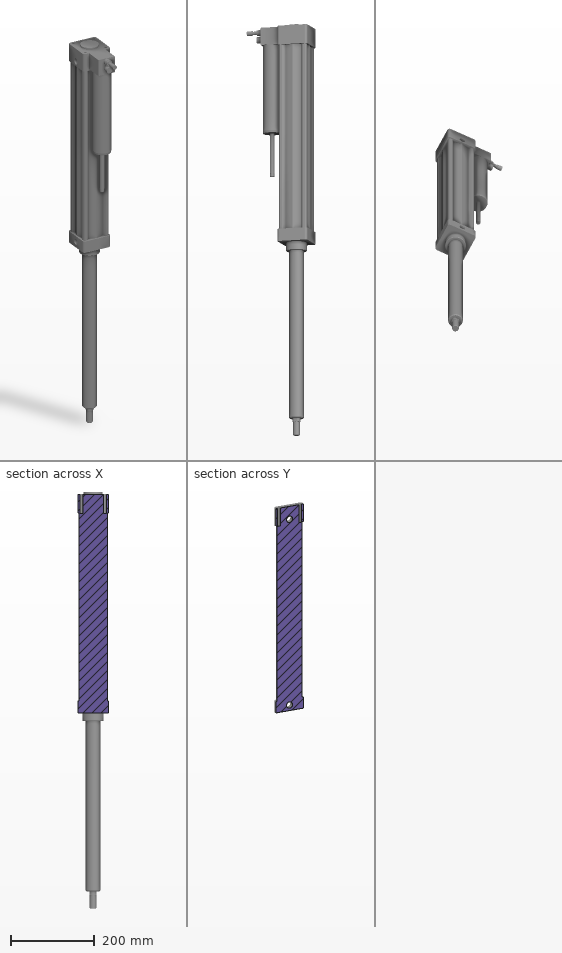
import cadquery as cq
import math


TOTAL_HEIGHT = 994.0
BOSS_HEIGHT = 4.0
HEAD_HEIGHT = 46.0
MOTOR_MOUNT_HEIGHT = 42.0
PROFILE_LENGTH = 447.0
CAP_HEIGHT = 30.0
COLLAR_HEIGHT = 20.0
head_top = TOTAL_HEIGHT - BOSS_HEIGHT
head_bottom = head_top - HEAD_HEIGHT
profile_bottom = head_bottom - PROFILE_LENGTH
cap_bottom = profile_bottom - CAP_HEIGHT
collar_bottom = cap_bottom - COLLAR_HEIGHT

BLOCK_WIDTH = 75.0
BLOCK_CORNER_RADIUS = 6.0
BOSS_DIAMETER = 45.0
SCREW_HOLE_DIAMETER = 6.0
SCREW_SPACING = 57.0
PORT_DIAMETER = 15.0
PORT_DEPTH = 10.0
PORT_TIP_ANGLE = 118.0
HEAD_PORT_HEIGHT = 12.0
COLLAR_DIAMETER = 50.0
COLLAR_CHAMFER = 1.0

PROFILE_WIDTH = 69.0
PROFILE_CORNER = 3.0
GROOVE_WIDTH = 51.0
RIDGE_WIDTH = 39.0
GROOVE_DEPTH = 6.0
RIDGE_HEIGHT = 5.5

MOTOR_DIAMETER = 45.0
MOTOR_X = 61.0
MOTOR_LENGTH = 213.0
MOTOR_END_CHAMFER_WIDTH = 1.0
MOTOR_END_CHAMFER_HEIGHT = 5.0
CABLE_DIAMETER = 11.0
CABLE_LENGTH = 104.0
CABLE_TIP_LENGTH = 8.0
CABLE_TIP_DIAMETER = 10.0
motor_top = head_top - MOTOR_MOUNT_HEIGHT
motor_bottom = motor_top - MOTOR_LENGTH
mount_end = MOTOR_X + MOTOR_DIAMETER / 2

UPPER_CONNECTOR_DROP = 8.4
UPPER_CONNECTOR_STEPS = [(15.0, 5.0), (16.0, 4.0), (14.0, 6.0), (8.0, 12.0), (11.0, 13.0)]
LOWER_CONNECTOR_DROP = 26.0
LOWER_CONNECTOR_STEPS = [(13.0, 5.0), (16.0, 10.0)]

ROD_DIAMETER = 35.0
ROD_BOTTOM = 41.0
ROD_CHAMFER_HEIGHT = 2.0
ROD_CHAMFER_WIDTH = 2.0
NECK_DIAMETER = 20.0
NECK_FLATS = 17.0
THREAD_DIAMETER = 16.0
THREAD_LENGTH = 33.0
THREAD_CHAMFER = 1.0


def square_block(bottom, height):
    return (
        cq.Workplane("XY", origin=(0, 0, bottom))
        .rect(BLOCK_WIDTH, BLOCK_WIDTH)
        .extrude(height)
        .edges("|Z")
        .fillet(BLOCK_CORNER_RADIUS)
    )


def cylinder(x, bottom, diameter, height):
    return cq.Workplane("XY", origin=(x, 0, bottom)).circle(diameter / 2).extrude(height)


def port(height):
    """Drilled hole with a conical end, entering the -Y face of a block."""
    radius = PORT_DIAMETER / 2
    face = -BLOCK_WIDTH / 2
    end = face + PORT_DEPTH
    tip = end + radius / math.tan(math.radians(PORT_TIP_ANGLE / 2))
    return (
        cq.Workplane("XY")
        .polyline([(0, face), (radius, face), (radius, end), (0, tip)])
        .close()
        .revolve(360, (0, 0, 0), (0, 1, 0))
        .translate((0, 0, height))
    )


def connector(height, steps):
    """Stepped round connector pointing along +X."""
    start = mount_end
    body = cq.Workplane("YZ")
    for diameter, length in steps:
        step = cq.Workplane("YZ", origin=(start, 0, height)).circle(diameter / 2).extrude(length)
        body = body.add(step)
        start += length
    return body.combine()


def profile():
    """Square bar with a shallow ridged groove along each side."""
    half = PROFILE_WIDTH / 2
    groove = (
        cq.Workplane("XY", origin=(0, 0, profile_bottom))
        .polyline([
            (half, -GROOVE_WIDTH / 2),
            (half - GROOVE_DEPTH, -RIDGE_WIDTH / 2),
            (half - GROOVE_DEPTH + RIDGE_HEIGHT, 0),
            (half - GROOVE_DEPTH, RIDGE_WIDTH / 2),
            (half, GROOVE_WIDTH / 2),
        ])
        .close()
        .extrude(PROFILE_LENGTH)
    )
    bar = (
        cq.Workplane("XY", origin=(0, 0, profile_bottom))
        .rect(PROFILE_WIDTH, PROFILE_WIDTH)
        .extrude(PROFILE_LENGTH)
        .edges("|Z")
        .chamfer(PROFILE_CORNER)
    )
    for side in range(4):
        bar = bar.cut(groove.rotate((0, 0, 0), (0, 0, 1), 90 * side))
    return bar


def head():
    motor_mount = cq.Workplane("XY", origin=(0, 0, motor_top)).box(
        mount_end, MOTOR_DIAMETER, MOTOR_MOUNT_HEIGHT, centered=(False, True, False)
    )
    screw_holes = (
        cq.Workplane("XY", origin=(0, 0, head_bottom))
        .rect(SCREW_SPACING, SCREW_SPACING, forConstruction=True)
        .vertices()
        .circle(SCREW_HOLE_DIAMETER / 2)
        .extrude(HEAD_HEIGHT)
    )
    return (
        square_block(head_bottom, HEAD_HEIGHT)
        .union(motor_mount)
        .cut(screw_holes)
        .union(cylinder(0, head_top, BOSS_DIAMETER, BOSS_HEIGHT))
        .cut(port(head_bottom + HEAD_PORT_HEIGHT))
        .union(connector(head_top - UPPER_CONNECTOR_DROP, UPPER_CONNECTOR_STEPS))
        .union(connector(head_top - LOWER_CONNECTOR_DROP, LOWER_CONNECTOR_STEPS))
    )


def front_cap():
    collar = cylinder(0, collar_bottom, COLLAR_DIAMETER, COLLAR_HEIGHT).faces("<Z").chamfer(COLLAR_CHAMFER)
    return (
        square_block(cap_bottom, CAP_HEIGHT)
        .cut(port(profile_bottom - CAP_HEIGHT / 2))
        .union(collar)
    )


def make_housing():
    return head().union(profile()).union(front_cap())


def make_motor():
    """Motor hanging under the motor mount, with its cable pointing down."""
    cable_bottom = motor_bottom - CABLE_LENGTH
    plain_cable_length = CABLE_LENGTH - CABLE_TIP_LENGTH
    return (
        cylinder(MOTOR_X, motor_bottom, MOTOR_DIAMETER, MOTOR_LENGTH)
        .faces("<Z")
        .chamfer(MOTOR_END_CHAMFER_HEIGHT, MOTOR_END_CHAMFER_WIDTH)
        .union(cylinder(MOTOR_X, cable_bottom + CABLE_TIP_LENGTH, CABLE_DIAMETER, plain_cable_length))
        .union(cylinder(MOTOR_X, cable_bottom, CABLE_TIP_DIAMETER, CABLE_TIP_LENGTH))
    )


def make_rod():
    """Round rod below the collar, with a neck with two wrench flats and a threaded end."""
    shaft = (
        cylinder(0, ROD_BOTTOM, ROD_DIAMETER, collar_bottom - ROD_BOTTOM)
        .faces("<Z")
        .chamfer(ROD_CHAMFER_HEIGHT, ROD_CHAMFER_WIDTH)
    )
    flats = cq.Workplane("XY", origin=(0, 0, THREAD_LENGTH)).rect(NECK_DIAMETER, NECK_FLATS)
    neck_height = ROD_BOTTOM - THREAD_LENGTH
    neck = cylinder(0, THREAD_LENGTH, NECK_DIAMETER, neck_height).intersect(flats.extrude(neck_height))
    thread = cylinder(0, 0, THREAD_DIAMETER, THREAD_LENGTH).faces("<Z").chamfer(THREAD_CHAMFER)
    return shaft.union(neck).union(thread)


housing = make_housing()
motor = make_motor()
rod = make_rod()

result = cq.Compound.makeCompound([housing.val(), motor.val(), rod.val()])